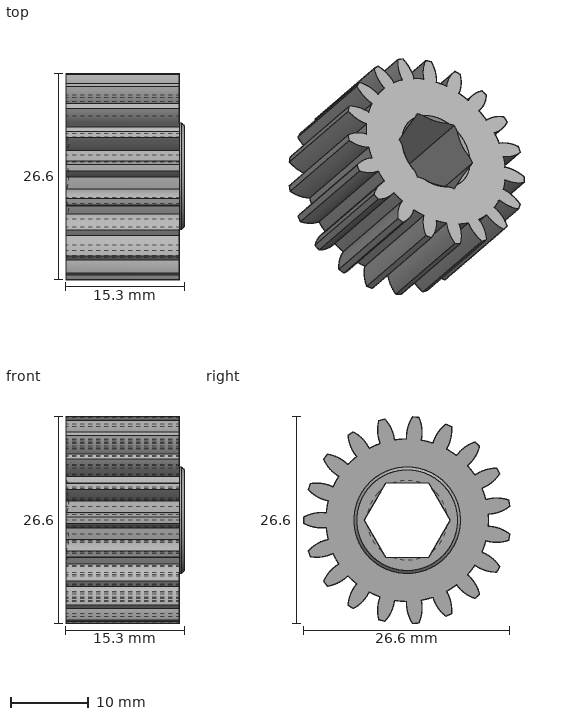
import cadquery as cq
import math


TOOTH_COUNT = 19
MODULE = 1.27
DEDENDUM_FACTOR = 1.25
PITCH_RADIUS = MODULE * TOOTH_COUNT / 2
TIP_RADIUS = PITCH_RADIUS + MODULE
ROOT_RADIUS = PITCH_RADIUS - DEDENDUM_FACTOR * MODULE
FIRST_TOOTH_ANGLE = 180.0

ROOT_HALF_THICKNESS = 0.97
MIDDLE_HALF_THICKNESS = 0.932
TIP_HALF_THICKNESS = 0.415

OVERALL_LENGTH = 15.27
FACE_WIDTH = 14.605
HUB_LENGTH = OVERALL_LENGTH - FACE_WIDTH

HUB_DIAMETER = 13.72
HUB_CHAMFER = 0.381

HEX_ACROSS_FLATS = 9.56
HEX_ACROSS_CORNERS = HEX_ACROSS_FLATS / math.cos(math.pi / 6)
COUNTERSINK_DIAMETER = 10.287

TOOTH_EMBED = 1.0


def point_at_radius(radius, half_thickness):
    """Point on one flank of a tooth that lies along the first sketch axis."""
    return (math.sqrt(radius**2 - half_thickness**2), half_thickness)


def mirrored(point):
    """The same point on the opposite flank."""
    return (point[0], -point[1])


def make_tooth():
    """One tooth along +Y, with circular-arc flanks and a tip on the tip circle."""
    root = point_at_radius(ROOT_RADIUS, ROOT_HALF_THICKNESS)
    middle = point_at_radius((ROOT_RADIUS + TIP_RADIUS) / 2, MIDDLE_HALF_THICKNESS)
    tip = point_at_radius(TIP_RADIUS, TIP_HALF_THICKNESS)
    base = (ROOT_RADIUS - TOOTH_EMBED, ROOT_HALF_THICKNESS)
    return (
        cq.Workplane("YZ")
        .moveTo(*base)
        .lineTo(*root)
        .threePointArc(middle, tip)
        .threePointArc((TIP_RADIUS, 0), mirrored(tip))
        .threePointArc(mirrored(middle), mirrored(root))
        .lineTo(*mirrored(base))
        .close()
        .extrude(FACE_WIDTH)
    )


def make_gear_body():
    """Root cylinder with the teeth spaced evenly around it."""
    body = cq.Workplane("YZ").circle(ROOT_RADIUS).extrude(FACE_WIDTH)
    tooth = make_tooth()
    for index in range(TOOTH_COUNT):
        angle = FIRST_TOOTH_ANGLE + index * 360 / TOOTH_COUNT
        body = body.union(tooth.rotate((0, 0, 0), (1, 0, 0), angle))
    return body


def make_hub():
    """Short round hub on the +X face, chamfered at its outer end."""
    hub = cq.Workplane("YZ", origin=(FACE_WIDTH, 0, 0)).circle(HUB_DIAMETER / 2).extrude(HUB_LENGTH)
    return hub.faces(">X").chamfer(HUB_CHAMFER)


def make_hex_bore():
    """Through hexagon with corners on the Y axis."""
    return cq.Workplane("YZ").polygon(6, HEX_ACROSS_CORNERS).extrude(OVERALL_LENGTH)


def make_countersink():
    """45 degree cone at the -X mouth of the bore."""
    radius = COUNTERSINK_DIAMETER / 2
    return cq.Workplane(cq.Solid.makeCone(radius, 0, radius, dir=cq.Vector(1, 0, 0)))


result = make_gear_body().union(make_hub()).cut(make_hex_bore()).cut(make_countersink())